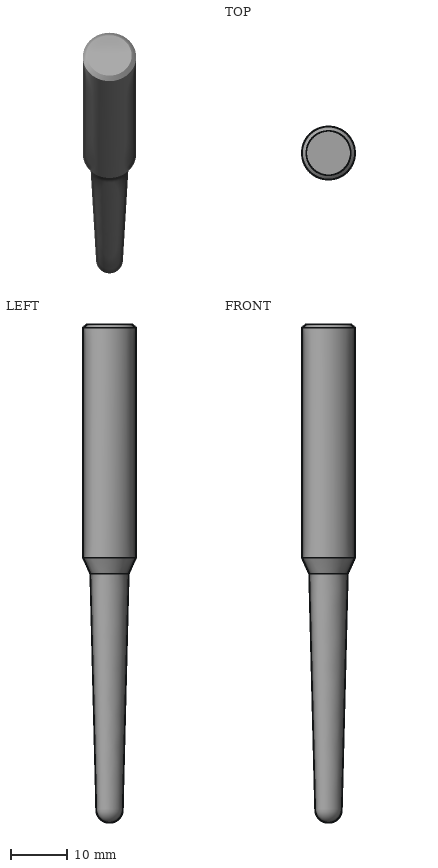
import cadquery as cq

total_length = 88.9
shank_diameter = 9.5

top_bevel_width = 0.8
top_bevel_height = 0.6
shoulder_top = 47.3
shoulder_bottom = 44.45

stem_top_diameter = 6.9
tip_diameter = 4.8

shank_radius = shank_diameter / 2
stem_top_radius = stem_top_diameter / 2
tip_radius = tip_diameter / 2


def make_shank():
    """Round shank, revolved from its half profile, down to the foot of the shoulder."""
    return (
        cq.Workplane("XZ")
        .moveTo(0, shoulder_bottom)
        .lineTo(stem_top_radius, shoulder_bottom)
        .lineTo(shank_radius, shoulder_top)
        .lineTo(shank_radius, total_length - top_bevel_height)
        .lineTo(shank_radius - top_bevel_width, total_length)
        .lineTo(0, total_length)
        .close()
        .revolve(360, (0, 0, 0), (0, 1, 0))
    )


def make_stem():
    """Tapered stem that meets the shank at a flat face and ends in a ball tip."""
    arc_offset = tip_radius * 0.5 ** 0.5
    return (
        cq.Workplane("XZ")
        .moveTo(0, 0)
        .threePointArc((arc_offset, tip_radius - arc_offset), (tip_radius, tip_radius))
        .lineTo(stem_top_radius, shoulder_bottom)
        .lineTo(0, shoulder_bottom)
        .close()
        .revolve(360, (0, 0, 0), (0, 1, 0))
    )


shank = make_shank()
stem = make_stem()

result = cq.Compound.makeCompound([shank.val(), stem.val()])